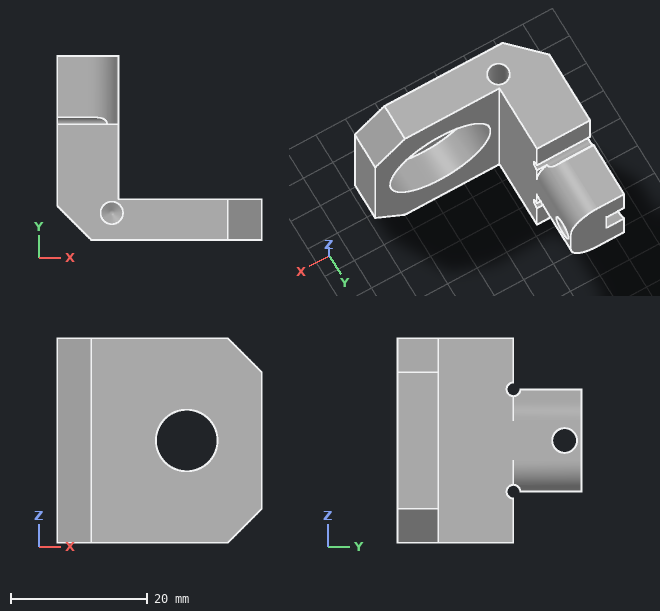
import cadquery as cq

length = 30.0
depth = 27.0
height = 30.0
side_thickness = 9.0
plate_thickness = 6.0
corner_chamfer = 5.0

shoulder_y = 17.0
tab_height = 15.0
tab_round = side_thickness / 2
relief_radius = 1.0

screw_y = 24.5
screw_radius = 1.8
screw_head_radius = 3.25
screw_head_depth = 3.0

bore_x = 19.0
bore_radius = 4.5
bore_lip = 1.0
pocket_radius = 8.5

drill_x = 8.0
drill_y = 4.0
drill_radius = 1.65
drill_depth = 12.0
drill_tip = 0.95


def make_bracket():
    """L-shaped body, centred on Z = 0, with its outer edges bevelled."""
    body = (
        cq.Workplane("XY", origin=(0, 0, -height / 2))
        .moveTo(corner_chamfer, 0)
        .lineTo(length, 0)
        .lineTo(length, plate_thickness)
        .lineTo(side_thickness, plate_thickness)
        .lineTo(side_thickness, shoulder_y)
        .lineTo(0, shoulder_y)
        .lineTo(0, corner_chamfer)
        .close()
        .extrude(height)
    )
    return body.edges("|Y and >X").chamfer(corner_chamfer)


def make_tab():
    """Tab behind the shoulder, rounded along both inner edges."""
    tab_length = depth - shoulder_y
    tab = cq.Workplane("XY").box(side_thickness, tab_length, tab_height, centered=(False, False, True))
    return tab.edges("|Y and >X").fillet(tab_round).translate((0, shoulder_y, 0))


def cylinder_x(y, z, radius, reach):
    """Cylinder along +X starting on the outer side face."""
    return cq.Workplane("YZ").center(y, z).circle(radius).extrude(reach)


def cylinder_y(start, end, radius):
    """Cylinder along Y on the axis of the front bore."""
    return (
        cq.Workplane("XZ", origin=(bore_x, start, 0))
        .circle(radius)
        .extrude(start - end)
    )


def make_drilled_hole():
    """Drilled hole with its cone tip, opening in the top face."""
    drill = (
        cq.Workplane("XZ")
        .lineTo(drill_radius, 0)
        .lineTo(drill_radius, -drill_depth)
        .lineTo(0, -drill_depth - drill_tip)
        .close()
        .revolve(360, (0, 0, 0), (0, 1, 0))
    )
    return drill.translate((drill_x, drill_y, height / 2))


result = make_bracket().union(make_tab())

for side in (-1, 1):
    result = result.cut(cylinder_x(shoulder_y, side * tab_height / 2, relief_radius, side_thickness))

result = result.cut(cylinder_x(screw_y, 0, screw_radius, side_thickness))
result = result.cut(cylinder_x(screw_y, 0, screw_head_radius, screw_head_depth))

result = result.cut(cylinder_y(0, plate_thickness, bore_radius))
result = result.cut(cylinder_y(bore_lip, plate_thickness, pocket_radius))

result = result.cut(make_drilled_hole())